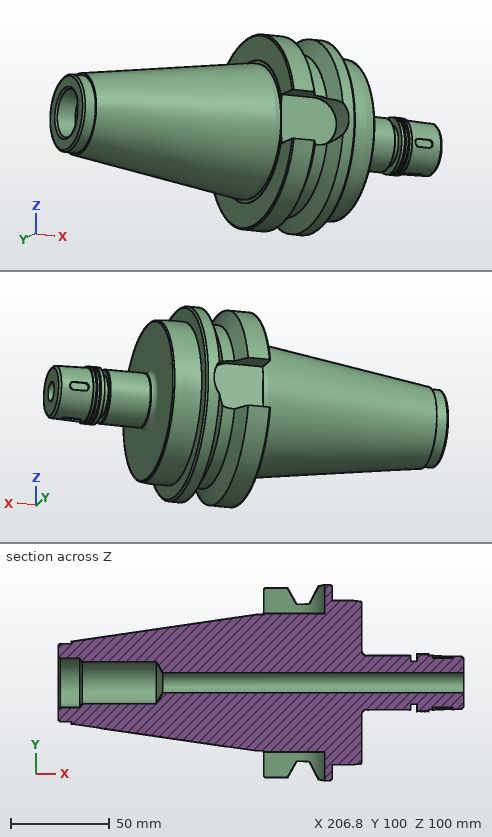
import cadquery as cq
import math


GAUGE_DIAMETER = 69.85
TAPER_RATIO = 7 / 24
SHANK_END_X = -101.8
SHANK_TIP_DIAMETER = 40.0
SHANK_TIP_LENGTH = 6.8
SHANK_TIP_CHAMFER = 1.0
NECK_DIAMETER = 69.6
NECK_START_X = 1.5

FLANGE_START_X = 3.0
FLANGE_END_X = 38.0
FLANGE_DIAMETER = 100.0
FLANGE_FRONT_CHAMFER = 0.7
FACE_PAD_DIAMETER = 73.3
FACE_PAD_HEIGHT = 0.15
FLANGE_BACK_CHAMFER = 1.0
GROOVE_CENTER_X = 23.0
GROOVE_DIAMETER = 84.0
GROOVE_FLOOR_WIDTH = 6.5
GROOVE_FLANK_ANGLE = 30.0

KEY_SLOT_WIDTH = 25.4
KEY_SLOT_END_X = 34.0
KEY_SLOT_FLOOR_Y = 35.3

SHOULDER_DIAMETER = 84.0
SHOULDER_STRAIGHT_END_X = 48.0
SHOULDER_END_X = 53.0
SHOULDER_END_DIAMETER = 83.0
SHOULDER_CHAMFER = 0.7

NOSE_DIAMETER = 28.0
NOSE_END_X = 78.0
NOSE_CHAMFER = 0.5
NOSE_RELIEF_DIAMETER = 27.6
NOSE_RELIEF_FILLET = 2.7
NOSE_START_X = 56.3
NOSE_THREAD_DIAMETER = 22.0

NUT_START_X = 81.0
NUT_COLLAR_DIAMETER = 29.5
NUT_COLLAR_END_X = 87.0
RING_GROOVE_CENTERS_X = (83.2, 85.2)
RING_GROOVE_WIDTH = 0.6
RING_GROOVE_DIAMETER = 28.6
NUT_BODY_DIAMETER = 28.0
NUT_FRONT_DIAMETER = 27.0
NUT_END_X = 105.0
NUT_END_CHAMFER = 1.2

WRENCH_SLOT_COUNT = 4
WRENCH_SLOT_LENGTH = 10.0
WRENCH_SLOT_WIDTH = 4.2
WRENCH_SLOT_CENTER_X = 94.2
WRENCH_SLOT_FLOOR_RADIUS = 12.7

THROUGH_DIAMETER = 10.0
PILOT_DIAMETER = 25.0
PILOT_DEPTH = 11.0
PILOT_CHAMFER = 1.0
STUD_THREAD_DIAMETER = 24.0
STUD_BORE_DIAMETER = 21.3
STUD_BORE_DEPTH = 50.0
DRILL_TIP_HALF_ANGLE = 59.0


def revolve_about_x(outline):
    """Close an outline of (x, radius) points and turn it about the X axis."""
    return outline.close().revolve(360, (0, 0, 0), (1, 0, 0))


def make_shank():
    tip_end_x = SHANK_END_X + SHANK_TIP_LENGTH
    tip_radius = SHANK_TIP_DIAMETER / 2
    gauge_radius = GAUGE_DIAMETER / 2
    taper_start_radius = gauge_radius + tip_end_x * TAPER_RATIO / 2
    neck_radius = NECK_DIAMETER / 2
    return revolve_about_x(
        cq.Workplane("XY")
        .moveTo(SHANK_END_X, 0)
        .lineTo(SHANK_END_X, tip_radius - SHANK_TIP_CHAMFER)
        .lineTo(SHANK_END_X + SHANK_TIP_CHAMFER, tip_radius)
        .lineTo(tip_end_x, tip_radius)
        .lineTo(tip_end_x, taper_start_radius)
        .lineTo(0, gauge_radius)
        .lineTo(NECK_START_X, neck_radius)
        .lineTo(FLANGE_START_X, neck_radius)
        .lineTo(FLANGE_START_X, 0)
    )


def make_flange():
    radius = FLANGE_DIAMETER / 2
    pad_radius = FACE_PAD_DIAMETER / 2
    groove_radius = GROOVE_DIAMETER / 2
    floor_half = GROOVE_FLOOR_WIDTH / 2
    flank_run = (radius - groove_radius) * math.tan(math.radians(GROOVE_FLANK_ANGLE))
    mouth_half = floor_half + flank_run
    return revolve_about_x(
        cq.Workplane("XY")
        .moveTo(FLANGE_START_X - FACE_PAD_HEIGHT, 0)
        .lineTo(FLANGE_START_X - FACE_PAD_HEIGHT, pad_radius)
        .lineTo(FLANGE_START_X, pad_radius)
        .lineTo(FLANGE_START_X, radius - FLANGE_FRONT_CHAMFER)
        .lineTo(FLANGE_START_X + FLANGE_FRONT_CHAMFER, radius)
        .lineTo(GROOVE_CENTER_X - mouth_half, radius)
        .lineTo(GROOVE_CENTER_X - floor_half, groove_radius)
        .lineTo(GROOVE_CENTER_X + floor_half, groove_radius)
        .lineTo(GROOVE_CENTER_X + mouth_half, radius)
        .lineTo(FLANGE_END_X - FLANGE_BACK_CHAMFER, radius)
        .lineTo(FLANGE_END_X, radius - FLANGE_BACK_CHAMFER)
        .lineTo(FLANGE_END_X, 0)
    )


def make_shoulder_and_nose():
    shoulder_end_radius = SHOULDER_END_DIAMETER / 2
    nose_radius = NOSE_DIAMETER / 2
    relief_radius = NOSE_RELIEF_DIAMETER / 2
    thread_radius = NOSE_THREAD_DIAMETER / 2
    return revolve_about_x(
        cq.Workplane("XY")
        .moveTo(FLANGE_END_X, 0)
        .lineTo(FLANGE_END_X, SHOULDER_DIAMETER / 2)
        .lineTo(SHOULDER_STRAIGHT_END_X, SHOULDER_DIAMETER / 2)
        .lineTo(SHOULDER_END_X - SHOULDER_CHAMFER, shoulder_end_radius)
        .lineTo(SHOULDER_END_X, shoulder_end_radius - SHOULDER_CHAMFER)
        .lineTo(SHOULDER_END_X, relief_radius + NOSE_RELIEF_FILLET)
        .radiusArc((SHOULDER_END_X + NOSE_RELIEF_FILLET, relief_radius), -NOSE_RELIEF_FILLET)
        .lineTo(NOSE_START_X, nose_radius)
        .lineTo(NOSE_END_X - NOSE_CHAMFER, nose_radius)
        .lineTo(NOSE_END_X, nose_radius - NOSE_CHAMFER)
        .lineTo(NOSE_END_X, thread_radius)
        .lineTo(NUT_START_X, thread_radius)
        .lineTo(NUT_START_X, 0)
    )


def make_nut():
    collar_radius = NUT_COLLAR_DIAMETER / 2
    body_radius = NUT_BODY_DIAMETER / 2
    front_radius = NUT_FRONT_DIAMETER / 2
    return revolve_about_x(
        cq.Workplane("XY")
        .moveTo(NUT_START_X, 0)
        .lineTo(NUT_START_X, collar_radius)
        .lineTo(NUT_COLLAR_END_X, collar_radius)
        .lineTo(NUT_COLLAR_END_X, body_radius)
        .lineTo(NUT_END_X - NUT_END_CHAMFER, front_radius)
        .lineTo(NUT_END_X, front_radius - NUT_END_CHAMFER)
        .lineTo(NUT_END_X, 0)
    )


def make_ring_groove(center_x):
    """Ring cutter for a narrow groove around the nut collar."""
    return (
        cq.Workplane("YZ", origin=(center_x - RING_GROOVE_WIDTH / 2, 0, 0))
        .circle(NUT_COLLAR_DIAMETER / 2)
        .circle(RING_GROOVE_DIAMETER / 2)
        .extrude(RING_GROOVE_WIDTH)
    )


def make_key_slot():
    """Cutter for the slot on the +Y side, open toward the shank and round at its far end."""
    half_width = KEY_SLOT_WIDTH / 2
    arc_center_x = KEY_SLOT_END_X - half_width
    depth = FLANGE_DIAMETER / 2 - KEY_SLOT_FLOOR_Y
    return (
        cq.Workplane("XZ", origin=(0, KEY_SLOT_FLOOR_Y, 0))
        .moveTo(0, -half_width)
        .lineTo(arc_center_x, -half_width)
        .threePointArc((KEY_SLOT_END_X, 0), (arc_center_x, half_width))
        .lineTo(0, half_width)
        .close()
        .extrude(-depth)
    )


def make_wrench_slot():
    """Cutter for the slot on the +Z side of the nut."""
    return (
        cq.Workplane("XY", origin=(WRENCH_SLOT_CENTER_X, 0, WRENCH_SLOT_FLOOR_RADIUS))
        .slot2D(WRENCH_SLOT_LENGTH, WRENCH_SLOT_WIDTH)
        .extrude(NUT_COLLAR_DIAMETER / 2 - WRENCH_SLOT_FLOOR_RADIUS)
    )


def make_bore():
    through_radius = THROUGH_DIAMETER / 2
    pilot_radius = PILOT_DIAMETER / 2
    countersink_radius = STUD_THREAD_DIAMETER / 2
    stud_radius = STUD_BORE_DIAMETER / 2
    pilot_end_x = SHANK_END_X + PILOT_DEPTH
    stud_end_x = SHANK_END_X + STUD_BORE_DEPTH
    tip_length = (stud_radius - through_radius) / math.tan(math.radians(DRILL_TIP_HALF_ANGLE))
    return revolve_about_x(
        cq.Workplane("XY")
        .moveTo(SHANK_END_X, 0)
        .lineTo(SHANK_END_X, pilot_radius + PILOT_CHAMFER)
        .lineTo(SHANK_END_X + PILOT_CHAMFER, pilot_radius)
        .lineTo(pilot_end_x, pilot_radius)
        .lineTo(pilot_end_x, countersink_radius)
        .lineTo(pilot_end_x + countersink_radius - stud_radius, stud_radius)
        .lineTo(stud_end_x, stud_radius)
        .lineTo(stud_end_x + tip_length, through_radius)
        .lineTo(NUT_END_X, through_radius)
        .lineTo(NUT_END_X, 0)
    )


result = make_shank().union(make_flange()).union(make_shoulder_and_nose()).union(make_nut())

for center_x in RING_GROOVE_CENTERS_X:
    result = result.cut(make_ring_groove(center_x))

key_slot = make_key_slot()
for angle in (0, 180):
    result = result.cut(key_slot.rotate((0, 0, 0), (1, 0, 0), angle))

wrench_slot = make_wrench_slot()
for index in range(WRENCH_SLOT_COUNT):
    angle = index * 360 / WRENCH_SLOT_COUNT
    result = result.cut(wrench_slot.rotate((0, 0, 0), (1, 0, 0), angle))

result = result.cut(make_bore())